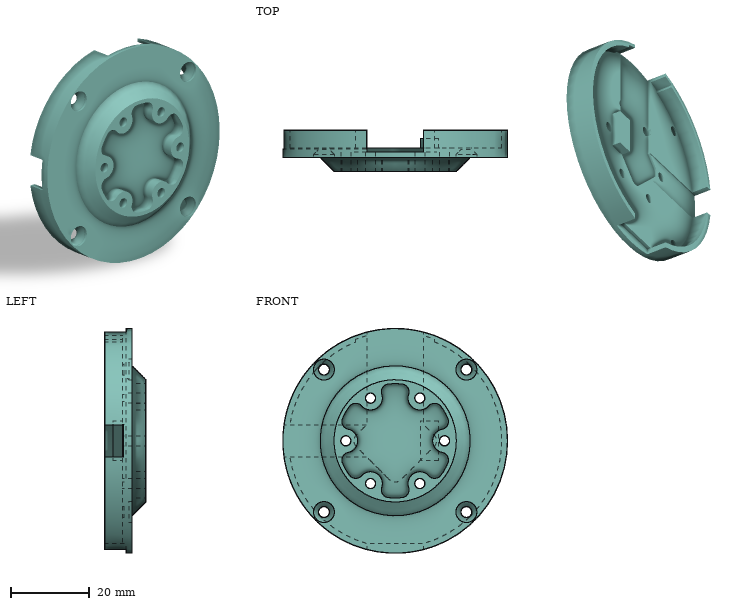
import cadquery as cq
import math

flange_radius = 28.5
rim_height = 7.0
wall_thickness = 1.5
floor_thickness = 2.5
inner_radius = flange_radius - wall_thickness

cone_height = 3.5
cone_base_radius = 19.0
cone_face_radius = cone_base_radius - cone_height

small_hole_count = 6
small_hole_circle_radius = 12.5
small_hole_diameter = 2.5
boss_radius = 3.0
star_radius = 14.5
star_fillet_radius = 2.0
star_depth = cone_height

screw_spacing = 36.1
screw_hole_diameter = 2.7
countersink_diameter = 5.3
counterbore_depth = 0.8
countersink_depth = (countersink_diameter - screw_hole_diameter) / 2

z_notch_width = 14.3
z_notch_floor = 1.5
x_notch_width = 8.1
x_notch_floor = 2.2

recess_side = 16.0
recess_corner_radius = 2.05
recess_floor = z_notch_floor

block_near_x = 6.4
block_thickness = 4.6
block_width = 10.0
block_top = 4.9

thin_wall_thickness = 0.9
thin_wall_width = 20.0


def plane_at(y):
    """Sketch plane across the part axis: local x = X, local y = -Z, normal = +Y."""
    return cq.Workplane(cq.Plane(origin=(0, y, 0), xDir=(1, 0, 0), normal=(0, 1, 0)))


def disc(radius, y_start, y_end):
    """Solid cylinder on the Y axis between two heights."""
    return plane_at(y_start).circle(radius).extrude(y_end - y_start)


def box_between(x_range, y_range, z_range):
    """Axis-aligned box from its lower and upper limits."""
    sizes = [high - low for low, high in (x_range, y_range, z_range)]
    corner = (x_range[0], y_range[0], z_range[0])
    return cq.Workplane("XY").box(*sizes, centered=False).translate(corner)


def make_body():
    """Dished flange with the truncated cone on its outer face."""
    flange = disc(flange_radius, 0, rim_height)
    cavity = disc(inner_radius, floor_thickness, rim_height)
    cone = (
        plane_at(-cone_height)
        .circle(cone_face_radius)
        .workplane(offset=cone_height)
        .circle(cone_base_radius)
        .loft()
    )
    return flange.cut(cavity).cut(make_wall_relief()).union(cone)


def make_wall_relief():
    """Cut that thins the inside of the wall around the +Z notch."""
    half_width = thin_wall_width / 2
    limits = box_between((-half_width, half_width), (floor_thickness, rim_height), (0, flange_radius))
    return disc(flange_radius - thin_wall_thickness, floor_thickness, rim_height).intersect(limits)


def polar(radius, angle):
    """Point at a radius and angle around the part axis."""
    return (radius * math.cos(angle), radius * math.sin(angle))


def make_star_pocket():
    """Round pocket whose edge bends inward around every boss with tangent arcs."""
    pitch = 2 * math.pi / small_hole_count
    fillet_circle = star_radius - star_fillet_radius
    boss_to_fillet = boss_radius + star_fillet_radius
    cosine = (small_hole_circle_radius**2 + fillet_circle**2 - boss_to_fillet**2) / (
        2 * small_hole_circle_radius * fillet_circle
    )
    fillet_angle = math.acos(cosine)

    def boss_tangent(boss_angle, side):
        """Point where a boss arc meets its fillet on one side."""
        bx, by = polar(small_hole_circle_radius, boss_angle)
        fx, fy = polar(fillet_circle, boss_angle + side * fillet_angle)
        share = boss_radius / boss_to_fillet
        return (bx + share * (fx - bx), by + share * (fy - by))

    def fillet_middle(boss_angle, side):
        """Point halfway along a fillet arc."""
        centre_angle = boss_angle + side * fillet_angle
        fx, fy = polar(fillet_circle, centre_angle)
        tx, ty = boss_tangent(boss_angle, side)
        start = math.atan2(ty - fy, tx - fx)
        turn = math.remainder(start - centre_angle, 2 * math.pi)
        dx, dy = polar(star_fillet_radius, centre_angle + turn / 2)
        return (fx + dx, fy + dy)

    outline = plane_at(-cone_height).moveTo(*boss_tangent(0, -1))
    for index in range(small_hole_count):
        angle = index * pitch
        following = angle + pitch
        boss_inner = polar(small_hole_circle_radius - boss_radius, angle)
        outline = (
            outline.threePointArc(boss_inner, boss_tangent(angle, 1))
            .threePointArc(fillet_middle(angle, 1), polar(star_radius, angle + fillet_angle))
            .threePointArc(
                polar(star_radius, angle + pitch / 2),
                polar(star_radius, following - fillet_angle),
            )
            .threePointArc(fillet_middle(following, -1), boss_tangent(following, -1))
        )
    return outline.close().extrude(star_depth)


def make_small_holes():
    """Through holes in the star bosses."""
    return (
        plane_at(-cone_height)
        .polarArray(small_hole_circle_radius, 0, 360, small_hole_count)
        .circle(small_hole_diameter / 2)
        .extrude(cone_height + rim_height)
    )


def make_screw_holes():
    """Through holes on a square pattern, sunk from the flange face."""
    corners = (
        plane_at(0).rect(screw_spacing, screw_spacing, forConstruction=True).vertices().vals()
    )
    countersink = (
        plane_at(counterbore_depth)
        .circle(countersink_diameter / 2)
        .workplane(offset=countersink_depth)
        .circle(screw_hole_diameter / 2)
        .loft()
    )
    cutter = (
        disc(screw_hole_diameter / 2, 0, floor_thickness)
        .union(disc(countersink_diameter / 2, 0, counterbore_depth))
        .union(countersink)
    )
    holes = cq.Workplane("XY")
    for corner in corners:
        holes = holes.add(cutter.translate(corner.toTuple()))
    return holes.combine()


def make_notches():
    """Openings in the rim at +Z, -Z and -X; the +Z and -X ones run into the recess."""
    half_z_notch = z_notch_width / 2
    half_x_notch = x_notch_width / 2
    z_notch_x = (-half_z_notch, half_z_notch)
    z_notch_y = (z_notch_floor, rim_height)
    top = box_between(z_notch_x, z_notch_y, (0, flange_radius))
    bottom_start = math.sqrt(inner_radius**2 - half_z_notch**2)
    bottom = box_between(z_notch_x, z_notch_y, (-flange_radius, -bottom_start))
    side = box_between((-flange_radius, 0), (x_notch_floor, rim_height), (-half_x_notch, half_x_notch))
    return top.union(bottom).union(side)


def make_recess():
    """Square recess with rounded corners, turned by 45 degrees."""
    return (
        plane_at(recess_floor)
        .rect(recess_side, recess_side)
        .extrude(floor_thickness - recess_floor)
        .edges("|Y")
        .fillet(recess_corner_radius)
        .rotate((0, 0, 0), (0, 1, 0), 45)
    )


def make_block():
    """Block standing on the inner floor across the +X corner of the recess."""
    return box_between(
        (block_near_x, block_near_x + block_thickness),
        (floor_thickness, block_top),
        (-block_width / 2, block_width / 2),
    )


result = (
    make_body()
    .cut(make_star_pocket())
    .cut(make_notches())
    .cut(make_recess())
    .union(make_block())
    .cut(make_small_holes())
    .cut(make_screw_holes())
)